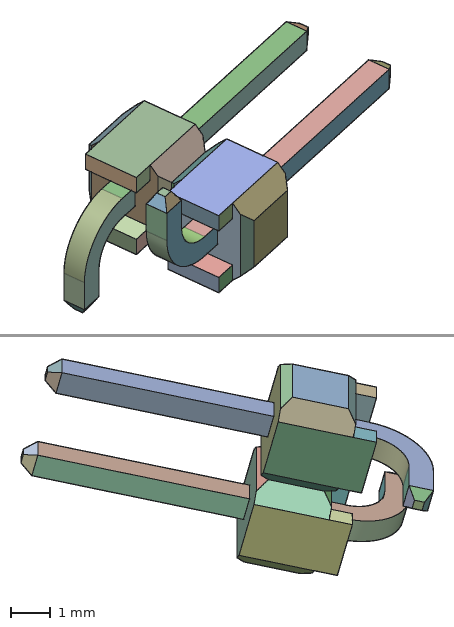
import cadquery as cq

total_length = 9.93
pitch = 2.54
pin_count = 2
total_height = 5.08

block_height = pitch
block_front = 2.18
block_back = 4.13
block_depth = block_back - block_front
bevel_x = 0.49
bevel_z = 0.51
end_bevel = 0.25
tab_length = 0.6
tab_thickness = bevel_z
tab_width = pitch - 2 * bevel_x

pin_size = 0.64
inner_radius = 1.0
outer_radius = inner_radius + pin_size
tip_length = 0.33
tip_size = 0.26

pin_centers = [(i - (pin_count - 1) / 2) * pitch for i in range(pin_count)]


def bevelled_outline(plane, width, height, bevel_across, bevel_up):
    """Centred rectangle with its four corners cut off."""
    x, y = width / 2, height / 2
    inner_x, inner_y = x - bevel_across, y - bevel_up
    return plane.polyline([
        (-inner_x, -y), (inner_x, -y), (x, -inner_y), (x, inner_y),
        (inner_x, y), (-inner_x, y), (-x, inner_y), (-x, -inner_y),
    ]).close()


def make_block(x_center):
    """Bevelled block with an upper and a lower tab on its front face."""
    seen_along_y = bevelled_outline(
        cq.Workplane("XZ"), pitch, block_height, bevel_x, bevel_z
    ).extrude(block_depth / 2, both=True)
    seen_along_z = bevelled_outline(
        cq.Workplane("XY"), pitch, block_depth, end_bevel, end_bevel
    ).extrude(block_height / 2, both=True)
    block = seen_along_y.intersect(seen_along_z)
    block = block.translate((0, (block_front + block_back) / 2, 0))

    tab_y = block_front - tab_length / 2
    tab_z = (block_height - tab_thickness) / 2
    for side in (-1, 1):
        tab = cq.Workplane("XY").box(tab_width, tab_length, tab_thickness)
        block = block.union(tab.translate((0, tab_y, side * tab_z)))
    return block.translate((x_center, 0, 0))


def make_tip(workplane):
    """Four-sided taper on the end of a pin, along the workplane normal."""
    return (
        workplane.rect(pin_size, pin_size)
        .workplane(offset=tip_length)
        .rect(tip_size, tip_size)
        .loft(ruled=True)
    )


def make_pin(x_center, bends_up):
    """Straight pin whose front end turns down or up, with both ends tapered."""
    half = pin_size / 2
    tail_end = -total_height / 2 + tip_length
    shank_end = total_length - tip_length
    bend_z = half - outer_radius

    bend_y = outer_radius
    pin = (
        cq.Workplane("YZ")
        .moveTo(shank_end, half)
        .lineTo(bend_y, half)
        .radiusArc((0, bend_z), -outer_radius)
        .lineTo(0, tail_end)
        .lineTo(pin_size, tail_end)
        .lineTo(pin_size, bend_z)
        .radiusArc((bend_y, -half), inner_radius)
        .lineTo(shank_end, -half)
        .close()
        .extrude(half, both=True)
    )
    back_plane = cq.Plane(origin=(0, shank_end, 0), xDir=(1, 0, 0), normal=(0, 1, 0))
    tail_plane = cq.Plane(origin=(0, half, tail_end), xDir=(1, 0, 0), normal=(0, 0, -1))
    pin = pin.union(make_tip(cq.Workplane(back_plane)))
    pin = pin.union(make_tip(cq.Workplane(tail_plane)))
    if bends_up:
        pin = pin.mirror("XY")
    return pin.translate((x_center, 0, 0))


pins = [make_pin(x, bends_up=i % 2 == 1) for i, x in enumerate(pin_centers)]

housing = make_block(pin_centers[0])
for x in pin_centers[1:]:
    housing = housing.union(make_block(x))
pin_hole = cq.Workplane("XY").box(pin_size, block_depth, pin_size)
for x in pin_centers:
    housing = housing.cut(pin_hole.translate((x, block_front + block_depth / 2, 0)))

result = cq.Compound.makeCompound([housing.val(), *[pin.val() for pin in pins]])